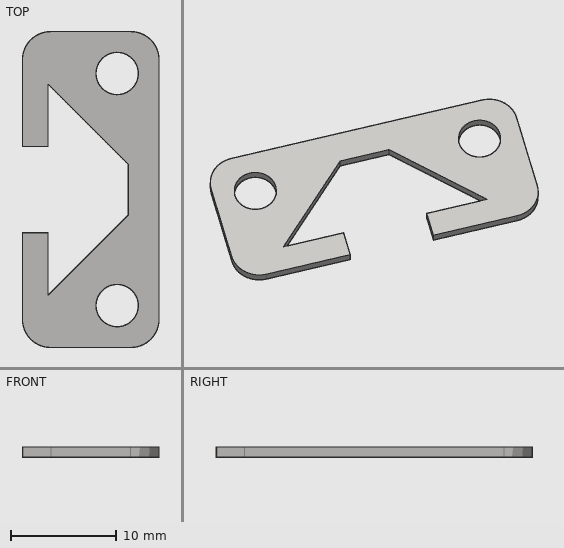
import cadquery as cq

length = 30.0
width = 13.0
thickness = 1.0
corner_radius = 2.7

arm_width = 2.45
mouth_height = 8.15
window_height = 19.98
window_depth = 7.6
window_flat = window_height - 2 * window_depth

hole_diameter = 4.0
hole_spacing = 22.02
hole_from_left = 9.0

left = -width / 2
window_left = left + arm_width
window_right = window_left + window_depth


def make_plate():
    plate = cq.Workplane("XY").box(width, length, thickness)
    return plate.edges("|Z").fillet(corner_radius)


def make_window():
    outline = [
        (left, mouth_height / 2),
        (window_left, mouth_height / 2),
        (window_left, window_height / 2),
        (window_right, window_flat / 2),
        (window_right, -window_flat / 2),
        (window_left, -window_height / 2),
        (window_left, -mouth_height / 2),
        (left, -mouth_height / 2),
    ]
    return cq.Workplane("XY").polyline(outline).close().extrude(thickness / 2, both=True)


def make_holes():
    hole_x = left + hole_from_left
    centres = [(hole_x, side * hole_spacing / 2) for side in (-1, 1)]
    holes = cq.Workplane("XY").pushPoints(centres).circle(hole_diameter / 2)
    return holes.extrude(thickness / 2, both=True)


result = make_plate().cut(make_window()).cut(make_holes())